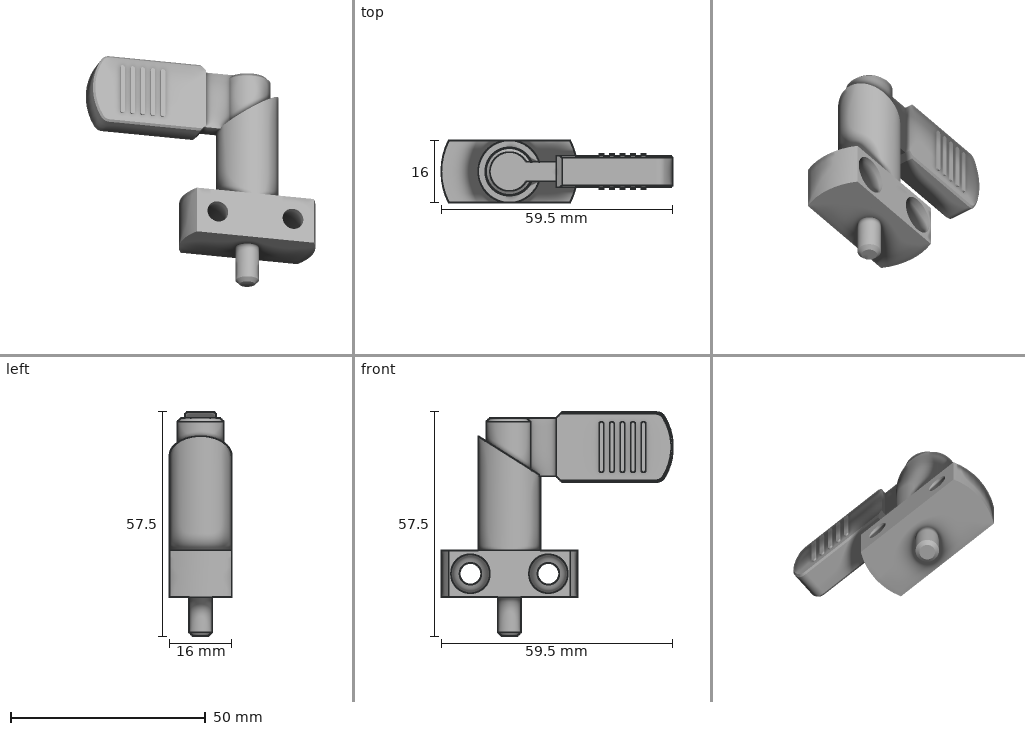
import cadquery as cq
import math

BASE_LENGTH = 35.0
BASE_WIDTH = 16.0
BASE_HEIGHT = 12.0

HOLE_SPACING = 20.0
HOLE_DIAMETER = 5.5
COUNTERBORE_DIAMETER = 10.0
COUNTERBORE_DEPTH = 5.7

SLEEVE_DIAMETER = BASE_WIDTH
SLEEVE_LOW_Z = 31.2
SLEEVE_HIGH_Z = 41.3
BORE_DIAMETER = 12.4

HEAD_DIAMETER = 12.0
HEAD_CHAMFER = 1.0

PIN_DIAMETER = 6.0
PIN_LENGTH = 10.0
PIN_CHAMFER = 1.0

ARM_THICKNESS = 5.0
ARM_BOTTOM_Z = 31.0
ARM_TOP_Z = 46.0
ARM_HEIGHT = ARM_TOP_Z - ARM_BOTTOM_Z
ARM_CENTER_Z = (ARM_TOP_Z + ARM_BOTTOM_Z) / 2

GRIP_START_X = 12.0
GRIP_END_X = 42.0
GRIP_HEIGHT = 18.0
GRIP_THICKNESS = 8.0
GRIP_END_RADIUS = 15.0
GRIP_CORNER_RADIUS = 2.5
GRIP_EDGE_CHAMFER = 0.5
GRIP_NECK_CHAMFER = (GRIP_HEIGHT - ARM_HEIGHT) / 2

RIB_COUNT = 5
RIB_PITCH = 2.7
RIB_WIDTH = 1.2
RIB_LENGTH = 13.0
RIB_HEIGHT = 0.5
RIB_CENTER_X = 29.0


def make_base():
    block = cq.Workplane("XY").box(BASE_LENGTH, BASE_WIDTH, BASE_HEIGHT, centered=(True, True, False))
    rounded_ends = cq.Workplane("XY").circle(BASE_LENGTH / 2).extrude(BASE_HEIGHT)
    return block.intersect(rounded_ends)


def cut_mounting_holes(body):
    front_face = cq.Workplane("XZ", origin=(0, -BASE_WIDTH / 2, BASE_HEIGHT / 2))
    centers = [(-HOLE_SPACING / 2, 0), (HOLE_SPACING / 2, 0)]
    holes = front_face.pushPoints(centers).circle(HOLE_DIAMETER / 2).extrude(-BASE_WIDTH)
    counterbores = front_face.pushPoints(centers).circle(COUNTERBORE_DIAMETER / 2).extrude(-COUNTERBORE_DEPTH)
    return body.cut(holes).cut(counterbores)


def make_sleeve():
    """Tube whose upper end is cut to a slope; the bore stops at the base."""
    radius = SLEEVE_DIAMETER / 2
    tube = (
        cq.Workplane("XY", origin=(0, 0, BASE_HEIGHT))
        .circle(radius)
        .circle(BORE_DIAMETER / 2)
        .extrude(SLEEVE_HIGH_Z - BASE_HEIGHT)
    )
    below_slope = (
        cq.Workplane("XZ")
        .moveTo(-radius, BASE_HEIGHT)
        .lineTo(radius, BASE_HEIGHT)
        .lineTo(radius, SLEEVE_LOW_Z)
        .lineTo(-radius, SLEEVE_HIGH_Z)
        .close()
        .extrude(radius, both=True)
    )
    return tube.intersect(below_slope)


def make_head():
    head = cq.Workplane("XY", origin=(0, 0, BASE_HEIGHT)).circle(HEAD_DIAMETER / 2)
    return head.extrude(ARM_TOP_Z - BASE_HEIGHT).faces(">Z").chamfer(HEAD_CHAMFER)


def make_pin():
    pin = cq.Workplane("XY").circle(PIN_DIAMETER / 2).extrude(-PIN_LENGTH)
    return pin.faces("<Z").chamfer(PIN_CHAMFER)


def make_arm():
    """Bar from the head axis to the grip."""
    return cq.Workplane("XY", origin=(0, 0, ARM_BOTTOM_Z)).box(
        GRIP_START_X, ARM_THICKNESS, ARM_HEIGHT, centered=(False, True, False)
    )


def make_grip():
    """Flat handle with a bevelled neck and a rounded outer end."""
    half = GRIP_HEIGHT / 2
    arc_center_x = GRIP_END_X - GRIP_END_RADIUS
    corner_x = arc_center_x + math.sqrt(GRIP_END_RADIUS**2 - half**2)
    neck_half = half - GRIP_NECK_CHAMFER
    shoulder_x = GRIP_START_X + GRIP_NECK_CHAMFER
    grip = (
        cq.Workplane("XZ", origin=(0, 0, ARM_CENTER_Z))
        .moveTo(GRIP_START_X, -neck_half)
        .lineTo(shoulder_x, -half)
        .lineTo(corner_x, -half)
        .threePointArc((GRIP_END_X, 0), (corner_x, half))
        .lineTo(shoulder_x, half)
        .lineTo(GRIP_START_X, neck_half)
        .close()
        .extrude(GRIP_THICKNESS / 2, both=True)
    )
    outer_corners = grip.faces(">Z or <Z").edges("|Y and >X")
    grip = outer_corners.fillet(GRIP_CORNER_RADIUS)
    long_edges = grip.faces(">Z or <Z").edges("|X")
    return long_edges.chamfer(GRIP_EDGE_CHAMFER)


def make_ribs():
    """Round-ended bars through the grip, standing proud on both faces."""
    first_x = RIB_CENTER_X - RIB_PITCH * (RIB_COUNT - 1) / 2
    centers = [(first_x + i * RIB_PITCH, 0) for i in range(RIB_COUNT)]
    return (
        cq.Workplane("XZ", origin=(0, 0, ARM_CENTER_Z))
        .pushPoints(centers)
        .slot2D(RIB_LENGTH, RIB_WIDTH, 90)
        .extrude(GRIP_THICKNESS / 2 + RIB_HEIGHT, both=True)
    )


base = cut_mounting_holes(make_base())
plunger = make_head().union(make_pin()).union(make_arm())
grip = make_grip().union(make_ribs())
result = base.union(make_sleeve()).union(plunger).union(grip)